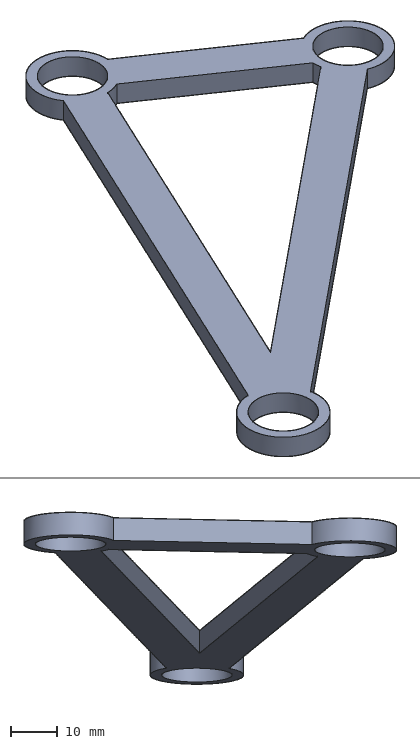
import cadquery as cq
import math

base_length = 140.0
short_length = 60.0
long_length = 145.0

ring_diameter = 20.0
hole_diameter = 15.0
bar_width = ring_diameter / 2
thickness = 5.0

apex_x = (short_length**2 + base_length**2 - long_length**2) / (2 * base_length)
apex_y = math.sqrt(short_length**2 - apex_x**2)

left = (0, 0)
right = (base_length, 0)
apex = (apex_x, apex_y)
centres = [left, right, apex]


def bar(start, end):
    """Straight flat bar running between two ring centres."""
    dx = end[0] - start[0]
    dy = end[1] - start[1]
    return (
        cq.Workplane("XY")
        .rect(math.hypot(dx, dy), bar_width)
        .extrude(thickness)
        .rotate((0, 0, 0), (0, 0, 1), math.degrees(math.atan2(dy, dx)))
        .translate((start[0] + dx / 2, start[1] + dy / 2, 0))
    )


def discs(diameter):
    """Full-thickness disc at each corner of the triangle."""
    return cq.Workplane("XY").pushPoints(centres).circle(diameter / 2).extrude(thickness)


frame = discs(ring_diameter)
for start, end in [(left, right), (right, apex), (apex, left)]:
    frame = frame.union(bar(start, end))

result = frame.cut(discs(hole_diameter))